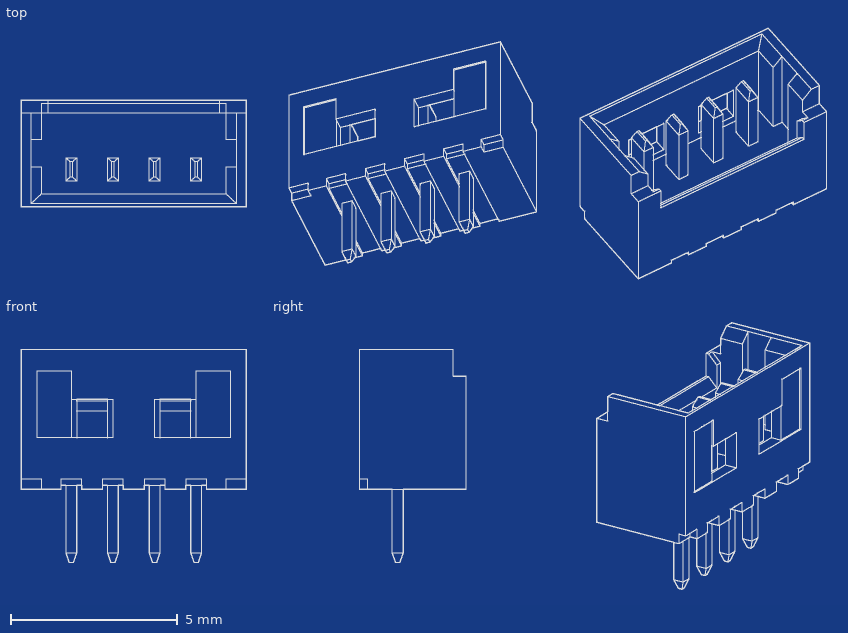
import cadquery as cq


length = 6.75
width = 3.2
height = 4.2
front_y = -width / 2
back_y = width / 2
wall = 0.39
end_wall = 0.61
floor_z = 1.3
lead_in_height = 0.3
front_lip = 0.095
end_lip = 0.29
cavity_length = length - 2 * end_wall
cavity_front = front_y + wall
cavity_back = back_y - wall

back_step = 0.8
back_corner = 0.81
back_sill_z = 2.65

slot_front = front_y + 1.2
slot_back = front_y + 2.025

window_bottom = 1.55
window_top = 2.7
label_top = 3.55
label_length = 1.025
label_depth = 0.05

notch_length = 0.615
notch_height = 0.31
notch_depth = 0.24
channel_height = 0.115

pin_pitch = 1.25
pin_count = 4
pin_x = [(i - (pin_count - 1) / 2) * pin_pitch for i in range(pin_count)]
pin_thickness = 0.33
blade_front = front_y + 0.775
blade_width = 0.695
blade_top = 3.55
blade_tip_height = 0.3
blade_tip_thickness = 0.075
blade_tip_width = 0.465
tail_y = front_y + 1.15
tail_width = 0.345
tail_bottom = -2.2
tail_tip_height = 0.3
tail_tip_size = 0.13


def box(x_range, y_range, z_range):
    """Block given by its start and end along each axis."""
    low, high = zip(x_range, y_range, z_range)
    size = [end - start for start, end in zip(low, high)]
    return cq.Workplane("XY").box(*size, centered=False).translate(low)


def taper(x, y, z, start_size, end_size, rise):
    """Pyramid stump on the vertical axis through (x, y), from start_size at z to end_size."""
    return (
        cq.Workplane("XY", origin=(x, y, z))
        .rect(*start_size)
        .workplane(offset=rise)
        .rect(*end_size)
        .loft(ruled=True)
    )


def prism_along_x(points, x_start, x_end):
    """Outline of (y, z) points extruded along X."""
    return cq.Workplane("YZ", origin=(x_start, 0, 0)).polyline(points).close().extrude(x_end - x_start)


def back_lead_in(top, half_length):
    """Cutter that slopes the inner edge of the back wall below the given top."""
    slope = [
        (cavity_back, top),
        (cavity_back, top - lead_in_height),
        (back_y - front_lip, top),
    ]
    return prism_along_x(slope, -half_length, half_length)


def cut_cavity(body):
    half_cavity = cavity_length / 2
    half_opening = length / 2 - end_lip
    body = body.cut(box((-half_cavity, half_cavity), (cavity_front, cavity_back), (floor_z, height)))
    body = body.cut(box((-half_opening, half_opening), (slot_front, slot_back), (floor_z, height)))

    front_edge = front_y + front_lip
    shoulder_z = height - lead_in_height
    mirrored_span = 2 * (cavity_back - cavity_front)
    mirrored_opening = 2 * (cavity_back - front_edge)
    lead_in = taper(
        0, cavity_back, shoulder_z,
        (cavity_length, mirrored_span), (2 * half_opening, mirrored_opening), lead_in_height,
    )
    ahead_of_back_wall = box((-length, length), (front_y, cavity_back), (0, height))
    return body.cut(lead_in.intersect(ahead_of_back_wall))


def cut_back_wall(body):
    corner_z = height - back_step
    half_sill = length / 2 - back_corner
    body = body.cut(box((-length, length), (cavity_back, back_y), (corner_z, height)))
    body = body.cut(box((-half_sill, half_sill), (cavity_back, back_y), (back_sill_z, corner_z)))
    body = body.cut(back_lead_in(corner_z, cavity_length / 2))
    return body.cut(back_lead_in(back_sill_z, half_sill))


def cut_front_wall(body):
    outer_pin = pin_x[-1]
    inner_pin = pin_x[-2]
    window = box((inner_pin, outer_pin), (front_y, cavity_front), (window_bottom, window_top))
    label = box(
        (outer_pin, outer_pin + label_length),
        (front_y, front_y + label_depth),
        (window_bottom, label_top),
    )
    for cutter in (window, label):
        body = body.cut(cutter).cut(cutter.mirror("YZ"))
    return body


def cut_underside(body):
    end_notch_x = (length - notch_length) / 2
    for x in [-end_notch_x, *pin_x, end_notch_x]:
        span = (x - notch_length / 2, x + notch_length / 2)
        body = body.cut(box(span, (front_y, front_y + notch_depth), (0, notch_height)))
    for x in pin_x:
        span = (x - notch_length / 2, x + notch_length / 2)
        body = body.cut(box(span, (front_y, back_y), (0, channel_height)))
    return body


def make_pin(x):
    sides = (x - pin_thickness / 2, x + pin_thickness / 2)
    blade_y = blade_front + blade_width / 2
    blade_shoulder = blade_top - blade_tip_height
    tail_shoulder = tail_bottom + tail_tip_height
    blade = box(sides, (blade_front, blade_front + blade_width), (floor_z, blade_shoulder))
    blade_tip = taper(
        x, blade_y, blade_shoulder,
        (pin_thickness, blade_width), (blade_tip_thickness, blade_tip_width), blade_tip_height,
    )
    tail = box(sides, (tail_y - tail_width / 2, tail_y + tail_width / 2), (tail_shoulder, channel_height))
    tail_tip = taper(
        x, tail_y, tail_shoulder,
        (pin_thickness, tail_width), (tail_tip_size, tail_tip_size), -tail_tip_height,
    )
    return blade.union(blade_tip).union(tail).union(tail_tip)


shroud = box((-length / 2, length / 2), (front_y, back_y), (0, height))
for cut in (cut_cavity, cut_back_wall, cut_front_wall, cut_underside):
    shroud = cut(shroud)

result = shroud
for x in pin_x:
    result = result.union(make_pin(x))